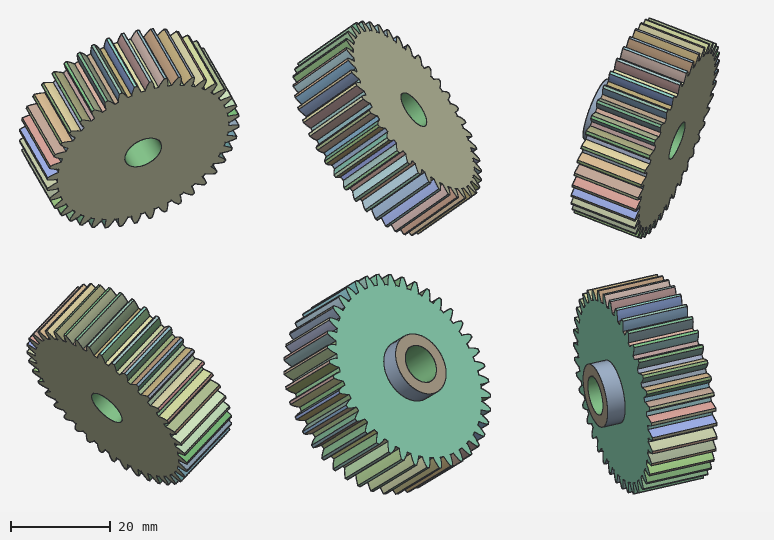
import cadquery as cq
import math

module = 1.0
tooth_count = 40
face_width = 14.0

tip_land = 0.62
pitch_thickness = 1.44
root_gap = 0.90

hub_diameter = 13.0
hub_length = 3.8
bore_diameter = 8.0

pitch_radius = module * tooth_count / 2
tip_radius = pitch_radius + module
root_radius = pitch_radius - 1.25 * module
tooth_pitch = 2 * math.pi / tooth_count

tip_half_angle = tip_land / 2 / tip_radius
pitch_half_angle = pitch_thickness / 2 / pitch_radius
root_half_angle = tooth_pitch / 2 - root_gap / 2 / root_radius


def polar(radius, angle):
    return (radius * math.cos(angle), radius * math.sin(angle))


def add_tooth(outline, center):
    """Continue the outline over one tooth and along the gap floor to the foot of the next tooth."""
    tip_start = polar(tip_radius, center - tip_half_angle)
    tip_end = polar(tip_radius, center + tip_half_angle)
    foot_end = polar(root_radius, center + root_half_angle)
    gap_middle = polar(root_radius, center + tooth_pitch / 2)
    next_foot = polar(root_radius, center + tooth_pitch - root_half_angle)
    return (
        outline.threePointArc(polar(pitch_radius, center - pitch_half_angle), tip_start)
        .threePointArc(polar(tip_radius, center), tip_end)
        .threePointArc(polar(pitch_radius, center + pitch_half_angle), foot_end)
        .threePointArc(gap_middle, next_foot)
    )


def make_toothed_disc():
    """Gear body from X = 0, with tooth gaps centred on the Y and Z axes."""
    first_center = tooth_pitch / 2
    outline = cq.Workplane("YZ").moveTo(*polar(root_radius, first_center - root_half_angle))
    for i in range(tooth_count):
        outline = add_tooth(outline, first_center + i * tooth_pitch)
    return outline.close().extrude(face_width)


def make_hub():
    """Plain round hub on the -X face of the gear."""
    return cq.Workplane("YZ").circle(hub_diameter / 2).extrude(-hub_length)


def make_bore():
    """Through hole along the gear axis."""
    total_length = hub_length + face_width
    return cq.Workplane("YZ", origin=(-hub_length, 0, 0)).circle(bore_diameter / 2).extrude(total_length)


result = make_toothed_disc().union(make_hub()).cut(make_bore())